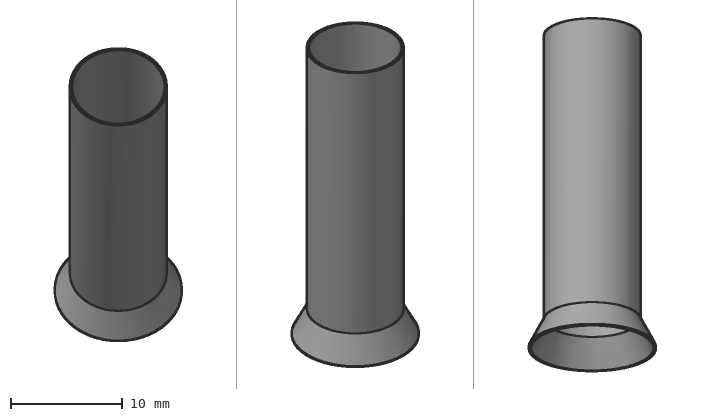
import cadquery as cq

total_height = 30.0
tube_outer_diameter = 8.7
wall_thickness = 0.2
flare_outer_diameter = 11.4
flare_height = 2.7
rim_height = 0.1

tube_radius = tube_outer_diameter / 2
bore_radius = tube_radius - wall_thickness
rim_radius = flare_outer_diameter / 2
rim_bore_radius = rim_radius - wall_thickness

half_section = (
    cq.Workplane("XZ")
    .moveTo(rim_bore_radius, 0)
    .lineTo(rim_radius, 0)
    .lineTo(rim_radius, rim_height)
    .lineTo(tube_radius, flare_height)
    .lineTo(tube_radius, total_height)
    .lineTo(bore_radius, total_height)
    .lineTo(bore_radius, flare_height)
    .close()
)

result = half_section.revolve(360, (0, 0), (0, 1))